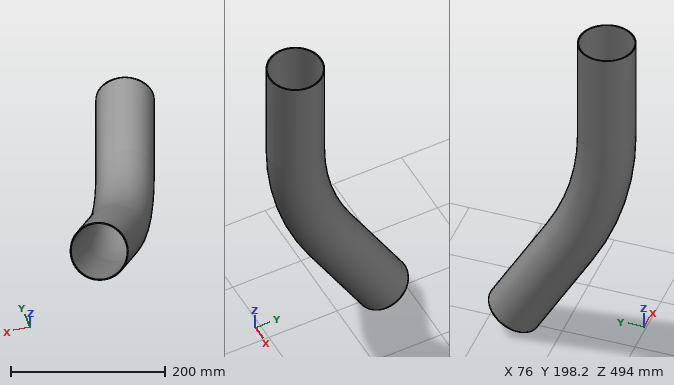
import cadquery as cq
import math

total_height = 494.0
outer_diameter = 76.0
inner_diameter = 73.0
bend_angle = 30.0
bend_radius = 5 * outer_diameter

angle = math.radians(bend_angle)
bend_height = bend_radius * math.sin(angle)
rim_drop = outer_diameter / 2 * math.sin(angle)
leg_length = (total_height - bend_height - rim_drop) / (1 + math.cos(angle))


def bend_point(turn):
    """Centreline point (y, z) after turning by the given angle from the upper leg."""
    return bend_radius * (1 - math.cos(turn)), -bend_radius * math.sin(turn)


def centreline():
    """Upper leg, tangent bend towards +Y, and lower leg; z = 0 at the top of the bend."""
    bend_end_y, bend_end_z = bend_point(angle)
    lower_end = (
        bend_end_y + leg_length * math.sin(angle),
        bend_end_z - leg_length * math.cos(angle),
    )
    return (
        cq.Workplane("YZ")
        .moveTo(0, leg_length)
        .lineTo(0, 0)
        .threePointArc(bend_point(angle / 2), (bend_end_y, bend_end_z))
        .lineTo(*lower_end)
    )


result = (
    cq.Workplane("XY", origin=(0, 0, leg_length))
    .circle(outer_diameter / 2)
    .circle(inner_diameter / 2)
    .sweep(centreline())
)